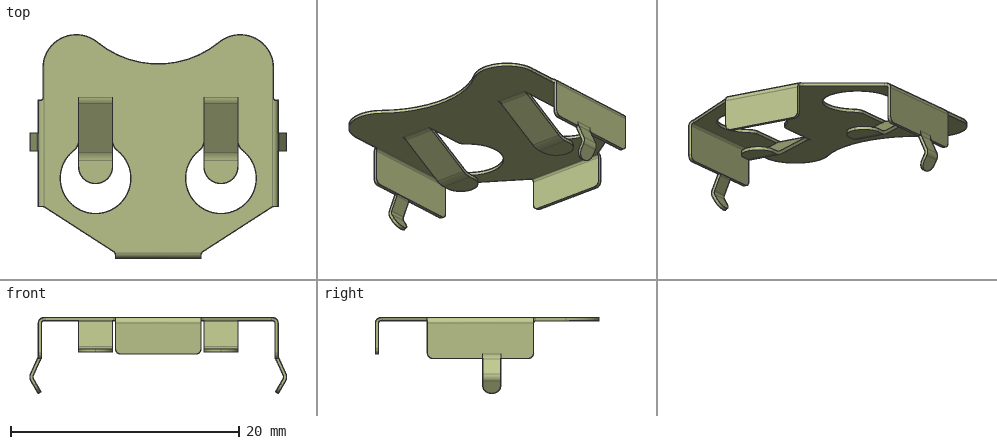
import cadquery as cq
import math

thickness = 0.3
bend_radius = 0.5
inner_bend_radius = bend_radius - thickness
corner_radius = 0.5

half_length = 11.25
plan_depth = 19.6
wall_x = 10.5
wall_front_y = 4.55
wall_back_y = 13.85
wall_height = 3.6
flap_half_width = 3.75
flap_height = 3.22

ear_edge_x = 10.1
ear_radius = 2.92
ear_x = ear_edge_x - ear_radius
ear_y = plan_depth - ear_radius
notch_y = 17.03

diagonal_x = 10.04
diagonal_end_y = bend_radius
wall_back_relief = 0.15
wall_front_relief = 0.4
flap_relief = 0.34

finger_x = 5.5
finger_width = 3.0
finger_root_y = 14.1
finger_tip_y = 6.55
finger_drop = 2.75
finger_angle = math.radians(29.5)
finger_root_radius = 1.12
finger_tip_radius = 1.45
hole_radius = 3.08
hole_y = 7.02
hole_blend_radius = 1.0

round_end_share = 0.499

leg_y = 10.2
leg_width = 1.6
leg_start_z = -3.22
leg_out_angle = math.radians(24.5)
leg_in_angle = math.radians(30)
leg_root_radius = 1.0
leg_knee_radius = 0.68
leg_bottom_z = -6.65


def polar(center, radius, angle):
    return (center[0] + radius * math.cos(angle), center[1] + radius * math.sin(angle))


def plan_prism():
    """Outline of the folded part seen from above, extruded down to the wall bottoms."""
    rise = notch_y - ear_y
    notch_radius = (ear_x**2 + rise**2 - ear_radius**2) / (2 * (ear_radius - rise))
    notch_center = (0, notch_y + notch_radius)
    tangent_angle = math.atan2(notch_center[1] - ear_y, -ear_x)
    blend_x, blend_y = polar((ear_x, ear_y), ear_radius, tangent_angle)

    half_outline = [
        (flap_half_width, 0),
        (flap_half_width, diagonal_end_y),
        (diagonal_x, wall_front_y),
        (wall_x, wall_front_y),
        (wall_x, wall_back_y),
        (ear_edge_x, wall_back_y),
        (ear_edge_x, ear_y),
    ]
    mirrored = [(-x, y) for x, y in reversed(half_outline)]
    ear_mid = polar((ear_x, ear_y), ear_radius, tangent_angle / 2)
    prism = (
        cq.Workplane("XY")
        .polyline(half_outline)
        .threePointArc(ear_mid, (blend_x, blend_y))
        .threePointArc((0, notch_y), (-blend_x, blend_y))
        .threePointArc((-ear_mid[0], ear_mid[1]), mirrored[0])
        .polyline(mirrored, includeCurrent=False)
        .close()
        .extrude(-wall_height)
    )
    reliefs = [
        (flap_half_width, diagonal_end_y, flap_relief),
        (diagonal_x, wall_front_y, wall_front_relief),
        (ear_edge_x, wall_back_y, wall_back_relief),
    ]
    for x, y, radius in reliefs:
        for side in (-1, 1):
            corner = cq.selectors.NearestToPointSelector((side * x, y, -wall_height / 2))
            prism = prism.edges("|Z").edges(corner).fillet(radius)
    return prism


def rounded_block(inset, radius):
    """Block inset from the outer faces, open-ended at the rear, with rounded top edges."""
    half_width = wall_x - inset
    return (
        cq.Workplane("XY", origin=(0, 0, -inset))
        .moveTo(-half_width, inset)
        .lineTo(half_width, inset)
        .lineTo(half_width, plan_depth + thickness)
        .lineTo(-half_width, plan_depth + thickness)
        .close()
        .extrude(-wall_height)
        .faces(">Z")
        .edges("|Y or <Y")
        .fillet(radius)
    )


def folded_sheet():
    """Top plate with its two side walls and the front flap."""
    shell = rounded_block(0, bend_radius).cut(rounded_block(thickness, inner_bend_radius))
    sheet = shell.intersect(plan_prism())
    below_flap = cq.Workplane("XY", origin=(0, 0, -wall_height)).box(
        2 * flap_half_width, 2 * bend_radius, 2 * (wall_height - flap_height)
    )
    sheet = sheet.cut(below_flap)
    for side in (-1, 1):
        for y in (wall_front_y, wall_back_y):
            corner = cq.selectors.NearestToPointSelector((side * wall_x, y, -wall_height))
            sheet = sheet.edges("|X").edges(corner).fillet(corner_radius)
        corner = cq.selectors.NearestToPointSelector((side * flap_half_width, 0, -flap_height))
        sheet = sheet.edges("|Y").edges(corner).fillet(corner_radius)
    return sheet


def keyhole(x):
    """Opening for one finger: a round hole blended into a slot as wide as the finger."""
    half_width = finger_width / 2
    blend_x = half_width + hole_blend_radius
    blend_rise = math.sqrt((hole_radius + hole_blend_radius)**2 - blend_x**2)
    touch_angle = math.atan2(blend_rise, blend_x)
    touch_x, touch_y = polar((0, 0), hole_radius, touch_angle)
    blend_mid_angle = math.pi + touch_angle / 2
    mid_x, mid_y = polar((blend_x, blend_rise), hole_blend_radius, blend_mid_angle)
    slot_top = finger_root_y - hole_y
    return (
        cq.Workplane("XY", origin=(x, hole_y, 0))
        .moveTo(-half_width, slot_top)
        .lineTo(half_width, slot_top)
        .lineTo(half_width, blend_rise)
        .threePointArc((mid_x, mid_y), (touch_x, touch_y))
        .threePointArc((0, -hole_radius), (-touch_x, touch_y))
        .threePointArc((-mid_x, mid_y), (-half_width, blend_rise))
        .close()
        .extrude(-2 * thickness)
    )


def finger(x):
    """Spring finger sloping down from the plate to a flat tip with a round end."""
    bend_radii = finger_root_radius + finger_tip_radius
    slope_drop = finger_drop - bend_radii * (1 - math.cos(finger_angle))
    slope_run = slope_drop / math.tan(finger_angle)
    root_center = (finger_root_y, -finger_root_radius)
    flat_y = finger_root_y - bend_radii * math.sin(finger_angle) - slope_run
    tip_center = (flat_y, finger_tip_radius - finger_drop)
    up = math.pi / 2
    down = -math.pi / 2
    root_under = finger_root_radius - thickness
    tip_under = finger_tip_radius + thickness
    anchor_y = finger_root_y + thickness
    strip = (
        cq.Workplane("YZ", origin=(x - finger_width / 2, 0, 0))
        .moveTo(anchor_y, 0)
        .lineTo(finger_root_y, 0)
        .threePointArc(
            polar(root_center, finger_root_radius, up + finger_angle / 2),
            polar(root_center, finger_root_radius, up + finger_angle),
        )
        .lineTo(*polar(tip_center, finger_tip_radius, down + finger_angle))
        .threePointArc(
            polar(tip_center, finger_tip_radius, down + finger_angle / 2),
            (flat_y, -finger_drop),
        )
        .lineTo(finger_tip_y, -finger_drop)
        .lineTo(finger_tip_y, -finger_drop - thickness)
        .lineTo(flat_y, -finger_drop - thickness)
        .threePointArc(
            polar(tip_center, tip_under, down + finger_angle / 2),
            polar(tip_center, tip_under, down + finger_angle),
        )
        .lineTo(*polar(root_center, root_under, up + finger_angle))
        .threePointArc(
            polar(root_center, root_under, up + finger_angle / 2),
            (finger_root_y, -thickness),
        )
        .lineTo(anchor_y, -thickness)
        .close()
        .extrude(finger_width)
    )
    return strip.edges("|Z").edges("<Y").fillet(round_end_share * finger_width)


def leg():
    """Leg on the +X wall: bends outwards, then back in at the knee to a round end."""
    root_center = (wall_x + leg_root_radius, leg_start_z)
    root_outer = polar(root_center, leg_root_radius, math.pi + leg_out_angle)
    root_inner = polar(root_center, leg_root_radius + thickness, math.pi + leg_out_angle)
    knee_x = half_length - leg_knee_radius
    knee_start_x = knee_x + leg_knee_radius * math.cos(leg_out_angle)
    knee_start_z = root_outer[1] - (knee_start_x - root_outer[0]) / math.tan(leg_out_angle)
    knee_center = (knee_x, knee_start_z - leg_knee_radius * math.sin(leg_out_angle))
    knee_inner_radius = leg_knee_radius - thickness
    knee_end = polar(knee_center, leg_knee_radius, -leg_in_angle)
    tip_length = (knee_end[1] - leg_bottom_z) / math.cos(leg_in_angle)
    tip_outer = polar(knee_end, tip_length, -math.pi / 2 - leg_in_angle)
    tip_inner = polar(tip_outer, thickness, math.pi - leg_in_angle)
    anchor_z = leg_start_z + thickness
    half_out = leg_out_angle / 2
    knee_mid_angle = (leg_out_angle - leg_in_angle) / 2
    strip = (
        cq.Workplane("XZ", origin=(0, leg_y + leg_width / 2, 0))
        .moveTo(wall_x, anchor_z)
        .lineTo(wall_x, leg_start_z)
        .threePointArc(polar(root_center, leg_root_radius, math.pi + half_out), root_outer)
        .lineTo(knee_start_x, knee_start_z)
        .threePointArc(polar(knee_center, leg_knee_radius, knee_mid_angle), knee_end)
        .lineTo(*tip_outer)
        .lineTo(*tip_inner)
        .lineTo(*polar(knee_center, knee_inner_radius, -leg_in_angle))
        .threePointArc(
            polar(knee_center, knee_inner_radius, knee_mid_angle),
            polar(knee_center, knee_inner_radius, leg_out_angle),
        )
        .lineTo(*root_inner)
        .threePointArc(
            polar(root_center, leg_root_radius + thickness, math.pi + half_out),
            (wall_x - thickness, leg_start_z),
        )
        .lineTo(wall_x - thickness, anchor_z)
        .close()
        .extrude(leg_width)
    )
    across_tip = cq.Vector(math.cos(leg_in_angle), 0, -math.sin(leg_in_angle))
    tip_corners = strip.edges(cq.selectors.ParallelDirSelector(across_tip)).edges("<Z")
    return tip_corners.fillet(round_end_share * leg_width)


result = folded_sheet()
for x in (-finger_x, finger_x):
    result = result.cut(keyhole(x)).union(finger(x))
right_leg = leg()
result = result.union(right_leg).union(right_leg.mirror("YZ"))